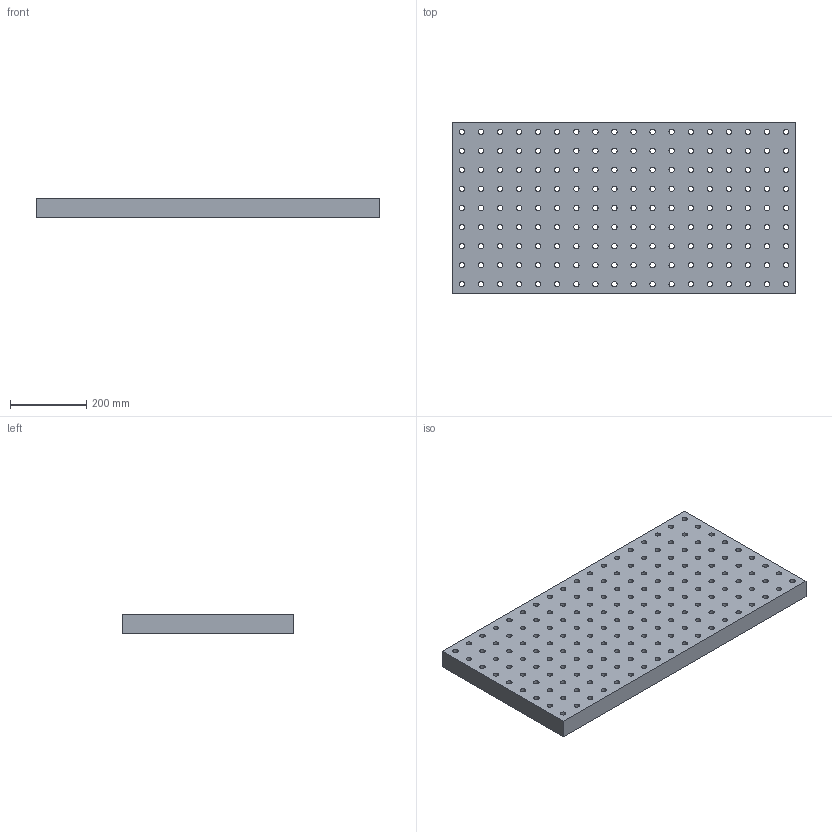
import cadquery as cq

pitch = 50.0
columns = 18
rows = 9
length = columns * pitch
width = rows * pitch
thickness = 50.0

hole_diameter = 14.0


def make_plate():
    """Plain rectangular plate centred on the origin in X and Y, resting on Z = 0."""
    return cq.Workplane("XY").box(length, width, thickness, centered=(True, True, False))


def drill_grid(plate):
    """Drill the regular grid of through holes from the top face."""
    return (
        plate.faces(">Z")
        .workplane()
        .rarray(pitch, pitch, columns, rows)
        .hole(hole_diameter)
    )


result = drill_grid(make_plate())